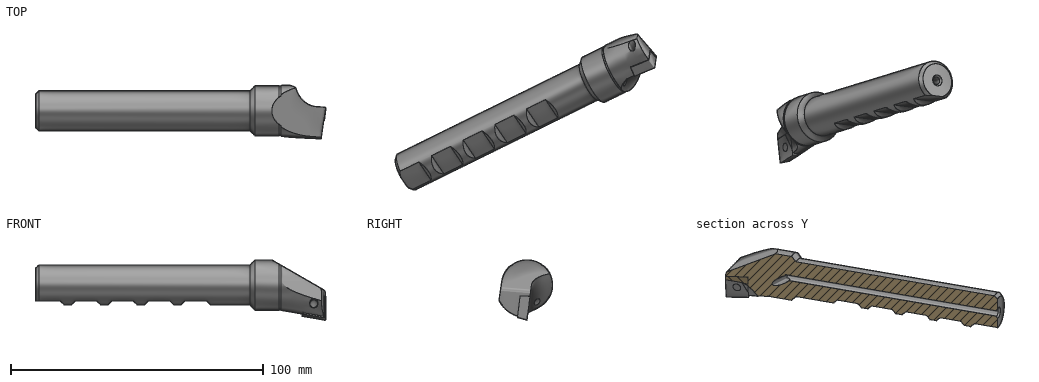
import cadquery as cq
import math


TOTAL_LENGTH = 115.0

SHANK_RADIUS = 16.0 / 2
SHANK_END_CHAMFER = 1.3
NOTCH_DEPTH_FROM_AXIS = 6.3
NOTCH_FLOOR_LENGTH = 8.6
NOTCH_PITCH = 14.5
NOTCH_COUNT = 5
FIRST_NOTCH_START = 1.2

BORE_RADIUS = 1.5
BORE_MOUTH_RADIUS = 2.2
BORE_DEPTH = 89.7
OUTLET_RADIUS = 1.4
OUTLET_DROP_ANGLE = 30.0
OUTLET_SIDE_ANGLE = 20.0
OUTLET_LENGTH = 23.0

COLLAR_RADIUS = 10.0
COLLAR_START = 85.0
COLLAR_CHAMFER = COLLAR_RADIUS - SHANK_RADIUS
GROOVE_START = 96.5
GROOVE_RADIUS = 9.9

HEAD_START = 97.2
CONE_START_RADIUS = 20.1 / 2
CONE_ANGLE = 9.6
CORE_RADIUS = 20.4 / 2
SIDE_TILT = 8.2
RAMP_START = 93.6
RAMP_ANGLE = 30.0
END_RELIEF = 8.0
END_BACK_OFF = 0.2
END_ROUND = 1.8

RAKE_TILT = 7.0
TIP_Z = -14.0
INSERT_EDGE = 9.7
INSERT_ANGLE = 80.0
INSERT_THICKNESS = 3.9
INSERT_RELIEF = 7.0
INSERT_NOSE_RADIUS = 0.4

SCREW_RADIUS = 1.6
SCREW_LENGTH = 7.5

SCOOP_RADIUS = 10.4
SCOOP_TANGENT_X = 111.2

CLEARANCE = 46.0


RAKE_NORMAL = (0, math.cos(math.radians(RAKE_TILT)), -math.sin(math.radians(RAKE_TILT)))

INSERT_PLANE = cq.Plane(origin=(TOTAL_LENGTH, 0, TIP_Z), xDir=(-1, 0, 0), normal=RAKE_NORMAL)


def insert_corners():
    """Rhombus corners from the tip onward, with one edge along the end of the head."""
    lean = math.radians(90.0 - INSERT_ANGLE)
    run = INSERT_EDGE * math.cos(lean)
    rise = INSERT_EDGE * math.sin(lean)
    return [(0, 0), (run, rise), (run, rise + INSERT_EDGE), (0, INSERT_EDGE)]


def screw_seat():
    """Workplane centred on the insert, on its rake face."""
    far_corner = insert_corners()[2]
    return cq.Workplane(INSERT_PLANE).center(far_corner[0] / 2, far_corner[1] / 2)


def ramp_height(x):
    """Height of the ramp above the axis at x."""
    return COLLAR_RADIUS - (x - RAMP_START) * math.tan(math.radians(RAMP_ANGLE))


def revolve_about_x(points):
    """Solid of revolution from (x, radius) points."""
    return cq.Workplane("XZ").polyline(points).close().revolve(360, (0, 0), (1, 0))


def shank_and_collar():
    return revolve_about_x([
        (0, 0),
        (0, SHANK_RADIUS - SHANK_END_CHAMFER),
        (SHANK_END_CHAMFER, SHANK_RADIUS),
        (COLLAR_START, SHANK_RADIUS),
        (COLLAR_START + COLLAR_CHAMFER, COLLAR_RADIUS),
        (GROOVE_START, COLLAR_RADIUS),
        (GROOVE_START, GROOVE_RADIUS),
        (HEAD_START, GROOVE_RADIUS),
        (HEAD_START, 0),
    ])


def notch_cutter(start, end):
    """Cutter under the shank with 45 degree ends, its floor running from start to end."""
    drop = COLLAR_RADIUS - NOTCH_DEPTH_FROM_AXIS
    return (
        cq.Workplane("XZ")
        .polyline([
            (start, -NOTCH_DEPTH_FROM_AXIS),
            (end, -NOTCH_DEPTH_FROM_AXIS),
            (end + drop, -COLLAR_RADIUS),
            (start - drop, -COLLAR_RADIUS),
        ])
        .close()
        .extrude(SHANK_RADIUS, both=True)
    )


def bore_cutter():
    mouth_chamfer = BORE_MOUTH_RADIUS - BORE_RADIUS
    return revolve_about_x([
        (0, 0),
        (0, BORE_MOUTH_RADIUS),
        (mouth_chamfer, BORE_RADIUS),
        (BORE_DEPTH, BORE_RADIUS),
        (BORE_DEPTH, 0),
    ])


def outlet_cutter():
    """Slanting hole from the end of the bore to the scoop."""
    return (
        cq.Workplane("YZ")
        .circle(OUTLET_RADIUS)
        .extrude(OUTLET_LENGTH)
        .rotate((0, 0, 0), (0, 1, 0), OUTLET_DROP_ANGLE)
        .rotate((0, 0, 0), (0, 0, 1), OUTLET_SIDE_ANGLE)
        .translate((BORE_DEPTH - OUTLET_RADIUS, 0, 0))
    )


def head_blank():
    """Flaring cone trimmed to a round top and a flat, leaning -Y side."""
    length = TOTAL_LENGTH - HEAD_START
    end_radius = CONE_START_RADIUS + length * math.tan(math.radians(CONE_ANGLE))
    cone = revolve_about_x([
        (HEAD_START, 0),
        (HEAD_START, CONE_START_RADIUS),
        (TOTAL_LENGTH, end_radius),
        (TOTAL_LENGTH, 0),
    ])
    tilt = math.radians(SIDE_TILT)
    tangent_y = -CORE_RADIUS * math.cos(tilt)
    tangent_z = CORE_RADIUS * math.sin(tilt)
    bottom_z = -end_radius
    bottom_y = tangent_y - (tangent_z - bottom_z) * math.tan(tilt)
    section = cq.Workplane("YZ", origin=(HEAD_START, 0, 0))
    core = section.circle(CORE_RADIUS).extrude(length)
    flat_side = (
        section.polyline([
            (0, 0),
            (tangent_y, tangent_z),
            (bottom_y, bottom_z),
            (CORE_RADIUS, bottom_z),
        ])
        .close()
        .extrude(length)
    )
    return cone.intersect(core.union(flat_side))


def head_envelope():
    """Space under the ramp and behind the sloping end face, with a rounded edge between them."""
    end_x = TOTAL_LENGTH - END_BACK_OFF
    far_x = TOTAL_LENGTH + CLEARANCE
    under_ramp = (
        cq.Workplane("XZ")
        .polyline([
            (0, -2 * CLEARANCE),
            (0, ramp_height(0)),
            (far_x, ramp_height(far_x)),
            (far_x, -2 * CLEARANCE),
        ])
        .close()
        .extrude(CLEARANCE, both=True)
    )
    behind_end = (
        cq.Workplane("XY")
        .box(far_x, 4 * CLEARANCE, 4 * CLEARANCE, centered=(False, True, True))
        .translate((-far_x, 0, 0))
        .rotate((0, 0, 0), (0, 0, 1), -END_RELIEF)
        .translate((end_x, 0, 0))
    )
    envelope = under_ramp.intersect(behind_end)
    ramp_end = cq.selectors.NearestToPointSelector((end_x, 0, ramp_height(end_x)))
    return envelope.edges(ramp_end).fillet(END_ROUND)


def scoop_cutter():
    """Everything in front of the rake face, with a round wall at its inner end."""
    ramp = math.radians(RAMP_ANGLE)
    rake = math.radians(RAKE_TILT)
    tangent_z = ramp_height(SCOOP_TANGENT_X)
    tangent_y = (tangent_z - TIP_Z) * math.tan(rake)
    along = cq.Vector(math.cos(ramp), -math.sin(ramp) * math.sin(rake), -math.sin(ramp) * math.cos(rake))
    plane = cq.Plane(
        origin=(SCOOP_TANGENT_X, tangent_y, tangent_z),
        xDir=along.toTuple(),
        normal=along.cross(cq.Vector(RAKE_NORMAL)).toTuple(),
    )
    mid = SCOOP_RADIUS * math.sin(math.radians(45))
    return (
        cq.Workplane(plane)
        .moveTo(CLEARANCE, 0)
        .lineTo(0, 0)
        .threePointArc((-mid, SCOOP_RADIUS - mid), (-SCOOP_RADIUS, SCOOP_RADIUS))
        .lineTo(-SCOOP_RADIUS, CLEARANCE)
        .lineTo(CLEARANCE, CLEARANCE)
        .close()
        .extrude(CLEARANCE, both=True)
    )


def insert_blank():
    """Insert without its hole, narrowing away from the rake face."""
    tip = INSERT_PLANE.toWorldCoords((0, 0, -INSERT_THICKNESS / 2)).toTuple()
    tip_edge = cq.selectors.NearestToPointSelector(tip)
    return (
        cq.Workplane(INSERT_PLANE)
        .polyline(insert_corners())
        .close()
        .extrude(-INSERT_THICKNESS, taper=INSERT_RELIEF)
        .edges(tip_edge)
        .fillet(INSERT_NOSE_RADIUS)
    )


def screw_hole():
    return screw_seat().circle(SCREW_RADIUS).extrude(-CLEARANCE)


def make_screw():
    return screw_seat().circle(SCREW_RADIUS).extrude(-SCREW_LENGTH)


def make_insert():
    return insert_blank().cut(screw_hole())


def make_bar():
    bar = shank_and_collar().union(head_blank())
    bar = bar.intersect(head_envelope()).cut(scoop_cutter())
    for index in range(NOTCH_COUNT):
        start = FIRST_NOTCH_START + index * NOTCH_PITCH
        open_start = start if index > 0 else -COLLAR_RADIUS
        bar = bar.cut(notch_cutter(open_start, start + NOTCH_FLOOR_LENGTH))
    bar = bar.cut(bore_cutter()).cut(outlet_cutter())
    return bar.cut(insert_blank()).cut(screw_hole())


bar = make_bar()
insert = make_insert()
screw = make_screw()

result = cq.Compound.makeCompound([bar.val(), insert.val(), screw.val()])